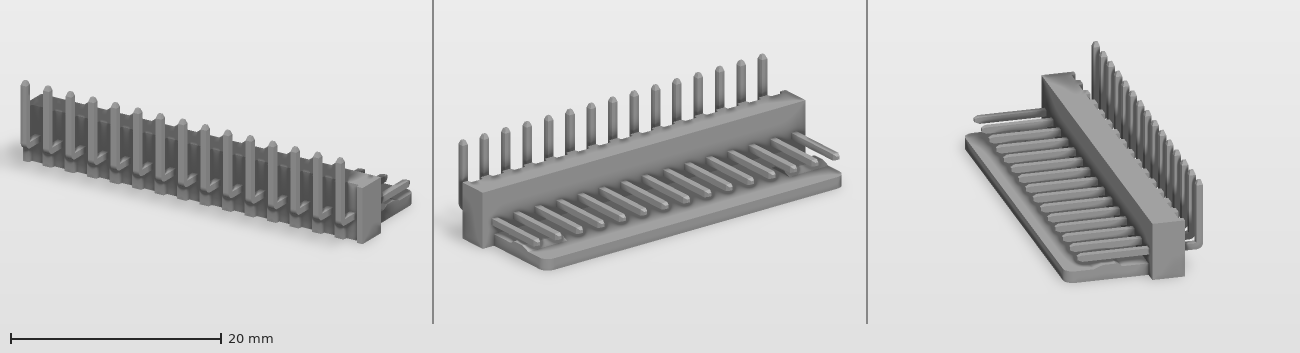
import cadquery as cq
import math


body_length = 38.35
body_depth = 3.22
body_height = 5.8

pin_count = 15
pin_span = 35.55
pin_pitch = pin_span / (pin_count - 1)
pin_size = 0.65
pin_axis_z = 2.53
pin_front_reach = 2.1
pin_top_z = 9.2
pin_back_gap = 1.15
tip_length = 0.42
tip_inset = 0.15
tip_taper = math.degrees(math.atan2(tip_inset, tip_length))

groove_mouth_width = 1.55
groove_floor_width = 1.35
groove_depth = 0.45

shelf_length = 35.65
shelf_depth = 8.2
shelf_thickness = 1.2
shelf_corner_radius = 1.0

ramp_width = 4.65
ramp_rise = 0.35
ramp_back_foot = 2.75
ramp_back_crest = 3.68
ramp_front_crest = 5.0
ramp_front_foot = 5.55

shelf_back_y = body_depth + shelf_depth
pin_xs = [i * pin_pitch - pin_span / 2 for i in range(pin_count)]


def make_groove(x):
    """Full-height trapezoidal groove, wider at its mouth."""
    return (
        cq.Workplane("XY")
        .polyline([
            (x - groove_mouth_width / 2, 0),
            (x - groove_floor_width / 2, groove_depth),
            (x + groove_floor_width / 2, groove_depth),
            (x + groove_mouth_width / 2, 0),
        ])
        .close()
        .extrude(body_height)
    )


def make_body():
    body = cq.Workplane("XY").box(body_length, body_depth, body_height, centered=(True, False, False))
    for x in pin_xs:
        body = body.cut(make_groove(x))
    return body


def make_shelf():
    shelf = (
        cq.Workplane("XY")
        .box(shelf_length, shelf_depth, shelf_thickness, centered=(True, False, False))
        .translate((0, body_depth, 0))
    )
    return shelf.edges("|Z and >Y").fillet(shelf_corner_radius)


def make_ramp(x_start):
    """Ramp with sloping back and front faces, running in +X from x_start."""
    crest_z = shelf_thickness + ramp_rise
    return (
        cq.Workplane("YZ", origin=(x_start, 0, 0))
        .polyline([
            (shelf_back_y - ramp_back_foot, shelf_thickness),
            (shelf_back_y - ramp_back_crest, crest_z),
            (shelf_back_y - ramp_front_crest, crest_z),
            (shelf_back_y - ramp_front_foot, shelf_thickness),
        ])
        .close()
        .extrude(ramp_width)
    )


def make_pin():
    """Right-angle square pin at X = 0 with a rounded outer bend and tapered tips."""
    half = pin_size / 2
    leg_y = half - pin_front_reach
    shank_end_y = shelf_back_y - pin_back_gap - tip_length
    leg_end_z = pin_top_z - tip_length
    shank = (
        cq.Workplane("XY")
        .box(pin_size, shank_end_y + pin_front_reach, pin_size, centered=(True, False, True))
        .translate((0, -pin_front_reach, pin_axis_z))
    )
    leg = (
        cq.Workplane("XY")
        .box(pin_size, pin_size, leg_end_z - pin_axis_z + half, centered=(True, True, False))
        .translate((0, leg_y, pin_axis_z - half))
    )
    bent = shank.union(leg).edges("|X and <Y and <Z").fillet(pin_size)
    back_tip = (
        cq.Workplane("XZ", origin=(0, shank_end_y, pin_axis_z))
        .rect(pin_size, pin_size)
        .extrude(-tip_length, taper=tip_taper)
    )
    top_tip = (
        cq.Workplane("XY", origin=(0, leg_y, leg_end_z))
        .rect(pin_size, pin_size)
        .extrude(tip_length, taper=tip_taper)
    )
    return bent.union(back_tip).union(top_tip)


result = make_body().union(make_shelf())
for ramp_x in (-shelf_length / 2, shelf_length / 2 - ramp_width):
    result = result.union(make_ramp(ramp_x))

pin = make_pin()
for x in pin_xs:
    result = result.union(pin.translate((x, 0, 0)))